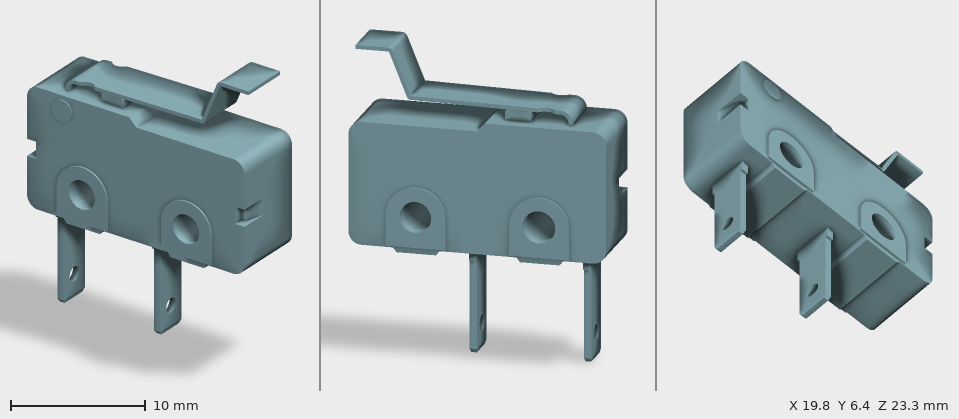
import cadquery as cq
import math


overall_height = 23.32
root_embed = 0.15

case_length = 19.8
case_depth = 6.06
case_height = 10.2
lowered_height = 9.54
step_start = 9.3
corner_radius = 1.0

hole_x_places = (5.1, 14.6)
hole_z = 2.52
hole_diameter = 2.4
wide_hole_diameter = 2.5
wide_hole_start = 0.95
total_depth = 6.4
pad_width = 4.6
pad_bottom = 0.15
foot_drop = 0.35
foot_top_width = 3.55
foot_bottom_width = 3.03

disc_x = 3.22
disc_z = 8.93
disc_diameter = 1.8
disc_rise = 0.1

notch_bottom = 4.2
notch_height = 1.42
notch_inset = 0.85
notch_straight_depth = 0.77
notch_full_depth = 2.43
taper_inset = 0.5

terminal_x_places = (1.87, 10.65)
terminal_thickness = 0.55
shoulder_width = 3.2
shoulder_drop = 1.0
blade_width = 2.75
blade_drop = 8.23
tip_height = 0.33
tip_side_cut = 0.23
tip_face_cut = 0.07
terminal_hole_diameter = 1.2
terminal_hole_above_tip = 1.98

lever_width = 4.05
lever_y = -0.2
lever_thickness = 0.3
lever_left = 2.92
lever_end = 19.6
lever_top = overall_height - blade_drop
arm_start_top = 11.26
arm_end_top = 11.47
ramp_foot = 15.35
ramp_angle = math.radians(67.8)
root_radius = 0.93
tip_radius = 0.4
ramp_foot_radius = 0.33
relief_x = 4.95
relief_half_width = 0.65
relief_depth = 0.35

plunger_left = 6.13
plunger_length = 1.98
plunger_inset = 0.1
plunger_edge_radius = 0.33
plunger_overlap = 0.02


def extrude_along_y(sketch, center_y, width):
    """Extrude a closed XZ wire symmetrically about the plane y = center_y."""
    return sketch.extrude(width / 2, both=True).translate((0, center_y, 0))


def make_case():
    step_end = step_start + case_height - lowered_height
    outline = cq.Workplane("XZ").polyline([
        (0, 0),
        (0, case_height),
        (step_start, case_height),
        (step_end, lowered_height),
        (case_length, lowered_height),
        (case_length, 0),
    ]).close()
    case = extrude_along_y(outline, 0, case_depth)
    outer_corners = case.edges("|Y and (<X or >X)")
    return outer_corners.fillet(corner_radius)


def make_pad(hole_x):
    half_width = pad_width / 2
    outline = (
        cq.Workplane("XZ")
        .moveTo(hole_x - half_width, pad_bottom)
        .lineTo(hole_x - half_width, hole_z)
        .threePointArc((hole_x, hole_z + half_width), (hole_x + half_width, hole_z))
        .lineTo(hole_x + half_width, pad_bottom)
        .close()
    )
    return extrude_along_y(outline, 0, total_depth)


def make_foot(hole_x):
    outline = cq.Workplane("XZ").polyline([
        (hole_x - foot_top_width / 2, 0),
        (hole_x - foot_top_width / 2, root_embed),
        (hole_x + foot_top_width / 2, root_embed),
        (hole_x + foot_top_width / 2, 0),
        (hole_x + foot_bottom_width / 2, -foot_drop),
        (hole_x - foot_bottom_width / 2, -foot_drop),
    ]).close()
    return extrude_along_y(outline, 0, case_depth)


def make_mounting_hole(hole_x):
    circle = cq.Workplane("XZ").center(hole_x, hole_z).circle(hole_diameter / 2)
    return extrude_along_y(circle, 0, total_depth)


def make_wide_hole():
    start_y = wide_hole_start - total_depth / 2
    center = (hole_x_places[0], start_y, hole_z)
    circle = cq.Workplane("XZ", origin=center).circle(wide_hole_diameter / 2)
    return circle.extrude(wide_hole_start - total_depth)


def make_disc():
    front_face = cq.Workplane("XZ", origin=(disc_x, -case_depth / 2, disc_z))
    return front_face.circle(disc_diameter / 2).extrude(disc_rise)


def make_left_notch():
    front_y = -case_depth / 2
    return cq.Workplane("XY", origin=(0, 0, notch_bottom)).polyline([
        (0, front_y),
        (notch_inset, front_y),
        (notch_inset, front_y + notch_straight_depth),
        (taper_inset, front_y + notch_straight_depth),
        (0, front_y + notch_full_depth),
    ]).close().extrude(notch_height)


def make_terminal(terminal_x):
    def bar(width, bottom, top):
        start = cq.Workplane("XY", origin=(terminal_x, 0, bottom))
        return start.rect(terminal_thickness, width).extrude(top - bottom)

    tip_top = tip_height - blade_drop
    shoulder = bar(shoulder_width, -shoulder_drop, root_embed)
    blade = bar(blade_width, tip_top, -shoulder_drop)
    tip = (
        cq.Workplane("XY", origin=(terminal_x, 0, tip_top))
        .rect(terminal_thickness, blade_width)
        .workplane(offset=-tip_height)
        .rect(terminal_thickness - 2 * tip_face_cut, blade_width - 2 * tip_side_cut)
        .loft()
    )
    hole_center = (terminal_x, 0, terminal_hole_above_tip - blade_drop)
    hole = (
        cq.Workplane("YZ", origin=hole_center)
        .circle(terminal_hole_diameter / 2)
        .extrude(terminal_thickness, both=True)
    )
    return shoulder.union(blade).union(tip).cut(hole)


def make_lever():
    arm_angle = math.atan2(arm_end_top - arm_start_top, ramp_foot - lever_left)
    ramp_top = ramp_foot + (lever_top - arm_end_top) / math.tan(ramp_angle)
    upper = [
        (lever_left, case_height - root_embed),
        (lever_left, arm_start_top),
        (ramp_foot, arm_end_top),
        (ramp_top, lever_top),
        (lever_end, lever_top),
    ]
    directions = [math.pi / 2, arm_angle, ramp_angle, 0]

    def lower_corner(corner, before, after):
        """Offset a corner by the strip thickness along the bisector of its bend."""
        bisector = (before + after) / 2
        reach = lever_thickness / math.cos((after - before) / 2)
        return (corner[0] + reach * math.sin(bisector), corner[1] - reach * math.cos(bisector))

    ends = [directions[0]] + directions
    starts = directions + [directions[-1]]
    lower = [lower_corner(*bend) for bend in zip(upper, ends, starts)]
    outline = cq.Workplane("XZ").polyline(upper + lower[::-1]).close()
    lever = extrude_along_y(outline, lever_y, lever_width)

    def round_corner(body, corner, radius):
        point = (corner[0], lever_y, corner[1])
        return body.edges("|Y").edges(cq.NearestToPointSelector(point)).fillet(radius)

    lever = round_corner(lever, upper[1], root_radius)
    lever = round_corner(lever, lower[1], root_radius - lever_thickness)
    lever = round_corner(lever, lower[2], ramp_foot_radius)
    lever = round_corner(lever, upper[3], tip_radius)
    lever = round_corner(lever, lower[3], tip_radius - lever_thickness)

    for side in (-1, 1):
        edge_y = lever_y + side * lever_width / 2
        relief = (
            cq.Workplane("XY", origin=(relief_x, edge_y, case_height))
            .moveTo(-relief_half_width, 0)
            .threePointArc((0, -side * relief_depth), (relief_half_width, 0))
            .close()
            .extrude(lever_top - case_height)
        )
        lever = lever.cut(relief)
    return lever


def make_plunger():
    plunger_center = plunger_left + plunger_length / 2
    arm_slope = (arm_end_top - arm_start_top) / (ramp_foot - lever_left)
    arm_underside = arm_start_top + arm_slope * (plunger_center - lever_left) - lever_thickness
    bottom = case_height - root_embed
    top = arm_underside + plunger_overlap
    block = (
        cq.Workplane("XY", origin=(plunger_center, lever_y, bottom))
        .rect(plunger_length, lever_width - 2 * plunger_inset)
        .extrude(top - bottom)
    )
    return block.edges("|Y and >Z").fillet(plunger_edge_radius)


body = make_case().union(make_disc())
for hole_x in hole_x_places:
    body = body.union(make_pad(hole_x)).union(make_foot(hole_x))
for hole_x in hole_x_places:
    body = body.cut(make_mounting_hole(hole_x))
body = body.cut(make_wide_hole())

left_notch = make_left_notch()
right_notch = left_notch.mirror("YZ").translate((case_length, 0, 0))
body = body.cut(left_notch).cut(right_notch)

for terminal_x in terminal_x_places:
    body = body.union(make_terminal(terminal_x))

result = body.union(make_lever()).union(make_plunger())